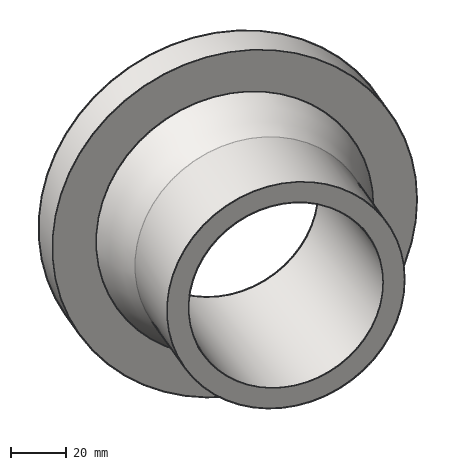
import cadquery as cq

flange_diameter = 138.0
flange_thickness = 17.1
neck_root_diameter = 104.9
neck_end = 40.3
tube_diameter = 90.0
bore_diameter = 73.5
total_length = 80.0

flange_radius = flange_diameter / 2
neck_root_radius = neck_root_diameter / 2
tube_radius = tube_diameter / 2
bore_radius = bore_diameter / 2

half_section = (
    cq.Workplane("XY")
    .moveTo(0, bore_radius)
    .lineTo(0, flange_radius)
    .lineTo(flange_thickness, flange_radius)
    .lineTo(flange_thickness, neck_root_radius)
    .lineTo(neck_end, tube_radius)
    .lineTo(total_length, tube_radius)
    .lineTo(total_length, bore_radius)
    .close()
)

result = half_section.revolve(360, (0, 0, 0), (1, 0, 0))